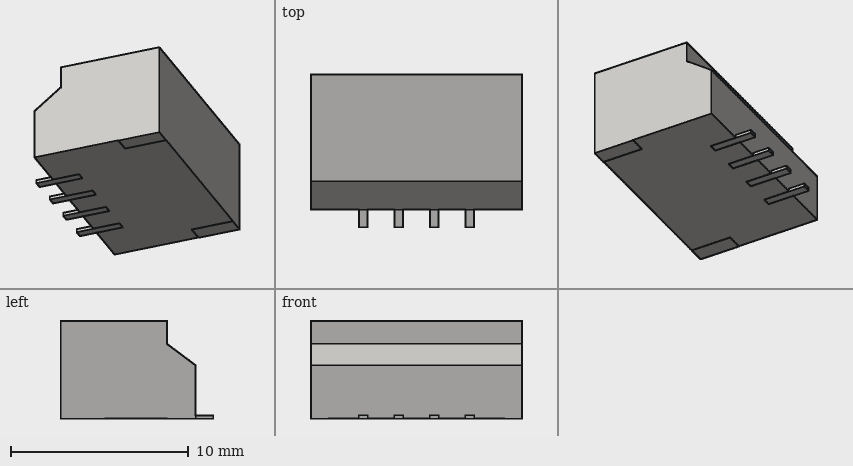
import cadquery as cq

width = 11.9
depth = 8.6
height = 5.52

standoff = 0.02
lead_reach = 1.0
body_depth = depth - lead_reach
top_depth = 6.0
step_drop = 1.3
slope_bottom_drop = 2.5

lead_count = 4
lead_pitch = 2.0
lead_width = 0.5
lead_thickness = 0.2

pad_width = 1.0
pad_depth = 2.5


def make_body():
    """Block with a stepped and sloped front, extruded along X."""
    profile = [
        (0, standoff),
        (0, height),
        (-top_depth, height),
        (-top_depth, height - step_drop),
        (-body_depth, height - slope_bottom_drop),
        (-body_depth, standoff),
    ]
    return cq.Workplane("YZ").polyline(profile).close().extrude(width / 2, both=True)


def make_lead(x):
    """Flat lead running from under the slope to beyond the front face."""
    return (
        cq.Workplane("XY")
        .box(lead_width, depth - top_depth, lead_thickness, centered=(True, False, False))
        .translate((x, -depth, 0))
    )


def make_pad(side):
    """Thin pad under a back corner; side is -1 or 1 along X."""
    return (
        cq.Workplane("XY")
        .box(pad_width, pad_depth, standoff, centered=(True, False, False))
        .translate((side * (width - pad_width) / 2, -pad_depth, 0))
    )


result = make_body()
for index in range(lead_count):
    lead_x = (index - (lead_count - 1) / 2) * lead_pitch
    result = result.union(make_lead(lead_x))
for pad_side in (-1, 1):
    result = result.union(make_pad(pad_side))